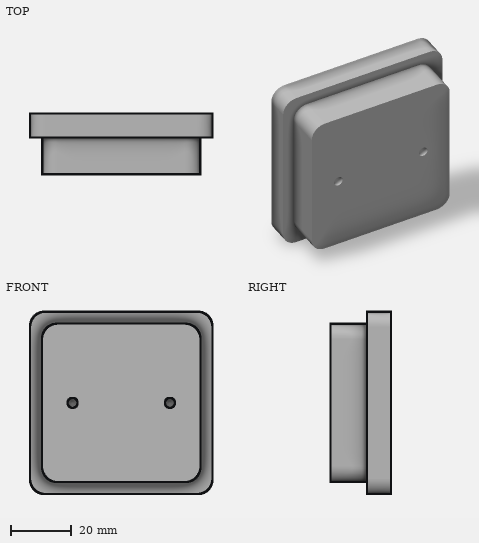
import cadquery as cq
import math

flange_side = 60.0
flange_thickness = 8.0

total_depth = 20.0
block_side = 52.0
block_depth = total_depth - flange_thickness

corner_radius = 5.0

hole_diameter = 3.3
hole_spacing = 32.0
hole_depth = 10.0
drill_point_angle = 118.0


def rounded_square(side, front_y, depth):
    """Square slab with rounded corners, running from front_y towards +Y."""
    return (
        cq.Workplane("XZ", origin=(0, front_y, 0))
        .rect(side, side)
        .extrude(-depth)
        .edges("|Y")
        .fillet(corner_radius)
    )


def drilled_hole(x):
    """Drill shape entering the front face at x, with a conical bottom."""
    radius = hole_diameter / 2
    tip_length = radius / math.tan(math.radians(drill_point_angle / 2))
    profile = [
        (0, 0),
        (radius, 0),
        (radius, hole_depth),
        (0, hole_depth + tip_length),
    ]
    return (
        cq.Workplane("XY")
        .polyline(profile)
        .close()
        .revolve(360, (0, 0), (0, 1))
        .translate((x, 0, 0))
    )


block = rounded_square(block_side, 0, block_depth)
flange = rounded_square(flange_side, block_depth, flange_thickness)
result = block.union(flange)

for side in (-1, 1):
    result = result.cut(drilled_hole(side * hole_spacing / 2))